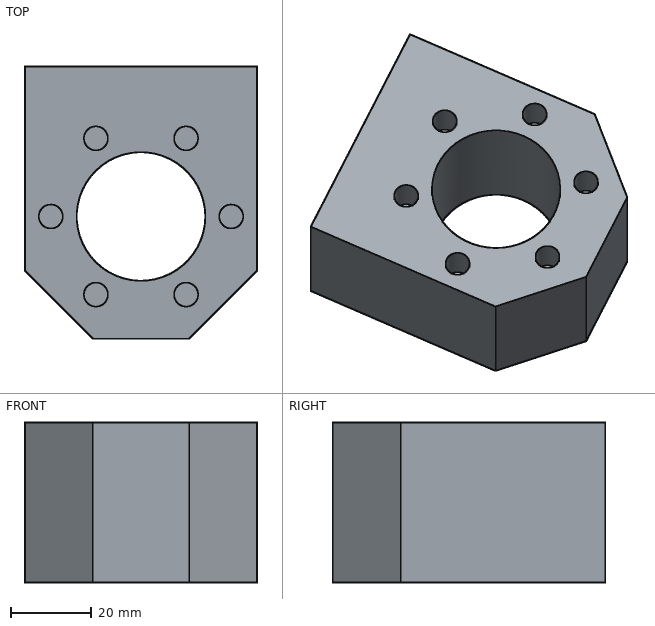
import cadquery as cq

width = 58.0
length = 68.0
height = 40.0
corner_bevel = 17.0

bore_diameter = 32.0
bore_to_front = 30.5

hole_count = 6
hole_diameter = 6.0
hole_circle_diameter = 45.0
hole_depth = 2 * hole_diameter


def make_block():
    """Block standing on Z = 0, with the bore axis along the Z axis."""
    return (
        cq.Workplane("XY")
        .box(width, length, height, centered=(True, False, False))
        .translate((0, -bore_to_front, 0))
        .edges("|Z and <Y")
        .chamfer(corner_bevel)
    )


def cut_bore(body):
    bore = cq.Workplane("XY").circle(bore_diameter / 2).extrude(height)
    return body.cut(bore)


def cut_ring_of_holes(body):
    holes = (
        cq.Workplane("XY", origin=(0, 0, height))
        .polarArray(hole_circle_diameter / 2, 0, 360, hole_count)
        .circle(hole_diameter / 2)
        .extrude(-hole_depth)
    )
    return body.cut(holes)


result = cut_ring_of_holes(cut_bore(make_block()))